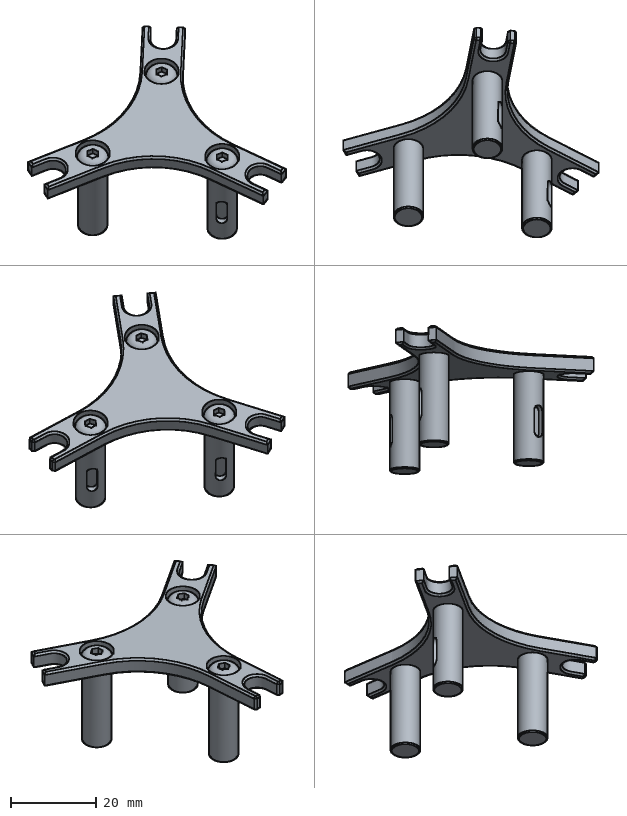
import cadquery as cq
import math

ARM_ANGLES = (150, 270, 30)
BEVELLED_TIP_ANGLE = 150
OVERALL_WIDTH = 60.2
ARM_WIDTH = 10.0
WEB_RADIUS = 25.0
PLATE_THICKNESS = 4.0
EDGE_CHAMFER = 0.5
ARM_LENGTH = (OVERALL_WIDTH - (ARM_WIDTH - EDGE_CHAMFER) / 2) / (2 * math.cos(math.radians(ARM_ANGLES[2])))

NOTCH_WIDTH = 6.0
NOTCH_STRAIGHT_LENGTH = 4.0
NOTCH_CENTRE = ARM_LENGTH - NOTCH_STRAIGHT_LENGTH

SCREW_RADIUS_POSITION = 17.5
COUNTERBORE_DIAMETER = 8.0
HEAD_DIAMETER = 7.6
HEAD_HEIGHT = 2.2
HEAD_RECESS = 0.2
HEAD_ROUND_RADIUS = 1.85
SHANK_DIAMETER = 4.0
SHANK_LENGTH = 8.0
HEX_SIDES = 6
HEX_ACROSS_FLATS = 2.5
HEX_DEPTH = 1.55
SEAT_Z = PLATE_THICKNESS - HEAD_RECESS - HEAD_HEIGHT
SHANK_END_Z = SEAT_Z - SHANK_LENGTH

POST_DIAMETER = 7.0
POST_LENGTH = 21.3
POST_END_CHAMFER = 0.3
SLOT_DIRECTIONS = {150: 210, 270: 210, 30: 330}
SLOT_WIDTH = 2.5
SLOT_LENGTH = 7.5
SLOT_CENTRE_Z = -11.75
SLOT_FLOOR_RADIUS = 2.1


def on_arm(angle, distance):
    """Point at a distance from the plate centre along the arm at this angle."""
    turn = math.radians(angle)
    return (distance * math.cos(turn), distance * math.sin(turn))


def make_arm(angle):
    arm = cq.Workplane("XY").box(ARM_LENGTH, ARM_WIDTH, PLATE_THICKNESS, centered=(False, True, False))
    return arm.rotate((0, 0, 0), (0, 0, 1), angle)


def make_notch(angle):
    round_end = cq.Workplane("XY").center(NOTCH_CENTRE, 0).circle(NOTCH_WIDTH / 2).extrude(PLATE_THICKNESS)
    opening = cq.Workplane("XY").box(
        ARM_LENGTH, NOTCH_WIDTH, PLATE_THICKNESS, centered=(False, True, False)
    ).translate((NOTCH_CENTRE, 0, 0))
    return round_end.union(opening).rotate((0, 0, 0), (0, 0, 1), angle)


def make_plate():
    plate = make_arm(ARM_ANGLES[0])
    for angle in ARM_ANGLES[1:]:
        plate = plate.union(make_arm(angle))

    centre_box = cq.selectors.BoxSelector(
        (-ARM_WIDTH, -ARM_WIDTH, 0), (ARM_WIDTH, ARM_WIDTH, PLATE_THICKNESS)
    )
    plate = plate.edges("|Z").edges(centre_box).fillet(WEB_RADIUS)

    for angle in ARM_ANGLES:
        plate = plate.cut(make_notch(angle))

    tip_x, tip_y = on_arm(BEVELLED_TIP_ANGLE, 1)
    tip_direction = cq.Vector(tip_x, tip_y, 0)
    tip_faces = cq.selectors.DirectionMinMaxSelector(tip_direction, True)
    plate = plate.faces(tip_faces).edges("|Z").chamfer(EDGE_CHAMFER)

    plate = plate.faces("<Z or >Z").edges().chamfer(EDGE_CHAMFER)

    centres = [on_arm(angle, SCREW_RADIUS_POSITION) for angle in ARM_ANGLES]
    shank_holes = cq.Workplane("XY").pushPoints(centres).circle(SHANK_DIAMETER / 2).extrude(PLATE_THICKNESS)
    counterbores = (
        cq.Workplane("XY").workplane(offset=SEAT_Z).pushPoints(centres)
        .circle(COUNTERBORE_DIAMETER / 2).extrude(PLATE_THICKNESS)
    )
    return plate.cut(shank_holes).cut(counterbores)


def make_screw(angle):
    """Button-head screw: head with a rounded rim and a hexagon socket, and a plain shank."""
    top_z = SEAT_Z + HEAD_HEIGHT
    head = cq.Workplane("XY").workplane(offset=SEAT_Z).circle(HEAD_DIAMETER / 2).extrude(HEAD_HEIGHT)
    head = head.faces(">Z").edges().fillet(HEAD_ROUND_RADIUS)
    shank = cq.Workplane("XY").workplane(offset=SHANK_END_Z).circle(SHANK_DIAMETER / 2).extrude(SHANK_LENGTH)
    hex_across_corners = HEX_ACROSS_FLATS / math.cos(math.pi / HEX_SIDES)
    socket = (
        cq.Workplane("XY").workplane(offset=top_z - HEX_DEPTH)
        .polygon(HEX_SIDES, hex_across_corners).extrude(HEX_DEPTH)
        .rotate((0, 0, 0), (0, 0, 1), 90)
    )
    x, y = on_arm(angle, SCREW_RADIUS_POSITION)
    return head.union(shank).cut(socket).translate((x, y, 0))


def make_post(angle):
    """Round post with a screw hole in its top and a flat-bottomed slot in its side."""
    radius = POST_DIAMETER / 2
    post = cq.Workplane("XY").circle(radius).extrude(-POST_LENGTH)
    post = post.faces("<Z").edges().chamfer(POST_END_CHAMFER)

    screw_hole = cq.Workplane("XY").circle(SHANK_DIAMETER / 2).extrude(SHANK_END_Z)
    slot = (
        cq.Workplane("YZ").workplane(offset=SLOT_FLOOR_RADIUS)
        .center(0, SLOT_CENTRE_Z).slot2D(SLOT_LENGTH, SLOT_WIDTH, 90).extrude(radius)
        .rotate((0, 0, 0), (0, 0, 1), SLOT_DIRECTIONS[angle])
    )
    x, y = on_arm(angle, SCREW_RADIUS_POSITION)
    return post.cut(screw_hole).cut(slot).translate((x, y, 0))


plate = make_plate()
screws = [make_screw(angle) for angle in ARM_ANGLES]
posts = [make_post(angle) for angle in ARM_ANGLES]

result = cq.Compound.makeCompound([body.val() for body in [plate, *screws, *posts]])